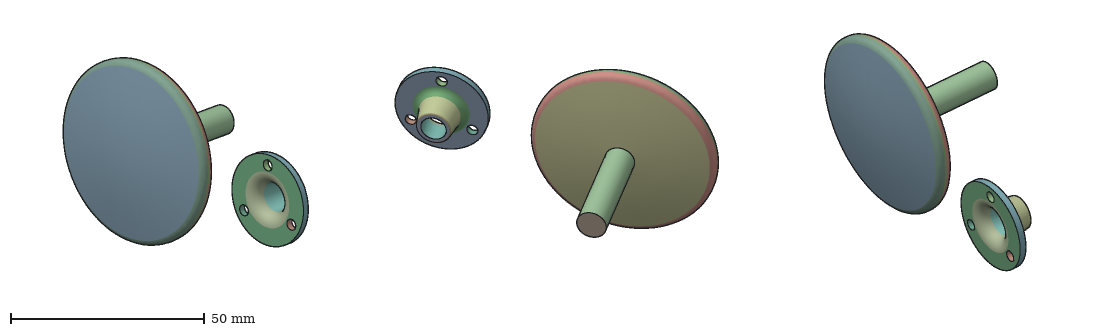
import cadquery as cq
import math

overall_length = 87.5
overall_depth = 38.0

knob_diameter = 50.0
dome_radius = 100.0
rim_thickness = 3.7
rim_fillet = 2.0
pin_diameter = 8.0

flange_diameter = 25.0
flange_thickness = 1.9
bushing_height = 9.8
boss_foot_radius = 5.95
boss_tip_radius = 4.6
boss_foot_fillet = 2.0
boss_tip_fillet = 0.35
bore_front_radius = 4.4
bore_back_radius = 3.4
bore_flare_radius = 3.6
screw_hole_count = 3
screw_hole_diameter = 3.0
screw_hole_circle_radius = 9.5

knob_radius = knob_diameter / 2
flange_radius = flange_diameter / 2
bushing_x = overall_length - knob_radius - flange_radius
dome_rise = dome_radius - math.sqrt(dome_radius**2 - knob_radius**2)
knob_thickness = rim_thickness + 2 * dome_rise


def revolve_about_y(profile):
    """Turn a closed XY profile a full turn about the Y axis."""
    return profile.close().revolve(360, (0, 0, 0), (0, 1, 0))


def circles_at(radius, y):
    """Choose the circular edges of a given radius lying in the plane at y."""
    tolerance = 0.01

    def matches(edge):
        same_radius = edge.geomType() == "CIRCLE" and abs(edge.radius() - radius) < tolerance
        return same_radius and abs(edge.Center().y - y) < tolerance

    return matches


def make_knob():
    """Double-domed disc with a rounded rim and a round pin behind it."""
    half_radius = knob_radius / 2
    half_rise = dome_radius - math.sqrt(dome_radius**2 - half_radius**2)
    front_rim_y = dome_rise
    back_rim_y = dome_rise + rim_thickness
    profile = (
        cq.Workplane("XY")
        .threePointArc((half_radius, half_rise), (knob_radius, front_rim_y))
        .lineTo(knob_radius, back_rim_y)
        .threePointArc((half_radius, knob_thickness - half_rise), (0, knob_thickness))
    )
    disc = revolve_about_y(profile)
    for rim_y in (front_rim_y, back_rim_y):
        rim = disc.edges().filter(circles_at(knob_radius, rim_y))
        disc = rim.fillet(rim_fillet)

    pin_start = knob_thickness / 2
    pin = (
        cq.Workplane("XZ", origin=(0, pin_start, 0))
        .circle(pin_diameter / 2)
        .extrude(pin_start - overall_depth)
    )
    return disc.union(pin).solids()


def make_bushing():
    """Flange with a tapered boss, a flared bore and a ring of screw holes."""
    profile = (
        cq.Workplane("XY")
        .moveTo(bore_front_radius, 0)
        .lineTo(flange_radius, 0)
        .lineTo(flange_radius, flange_thickness)
        .lineTo(boss_foot_radius, flange_thickness)
        .lineTo(boss_tip_radius, bushing_height)
        .lineTo(bore_back_radius, bushing_height)
    )
    body = revolve_about_y(profile)
    rounded_edges = (
        (boss_foot_radius, flange_thickness, boss_foot_fillet),
        (boss_tip_radius, bushing_height, boss_tip_fillet),
        (bore_front_radius, 0, bore_flare_radius),
    )
    for edge_radius, edge_y, fillet_radius in rounded_edges:
        edge = body.edges().filter(circles_at(edge_radius, edge_y))
        body = edge.fillet(fillet_radius)

    screw_holes = (
        cq.Workplane("XZ")
        .polarArray(screw_hole_circle_radius, 90, 360, screw_hole_count)
        .circle(screw_hole_diameter / 2)
        .extrude(-flange_thickness)
    )
    return body.cut(screw_holes).solids().translate((bushing_x, 0, 0))


knob = make_knob()
bushing = make_bushing()

result = cq.Compound.makeCompound([knob.val(), bushing.val()])